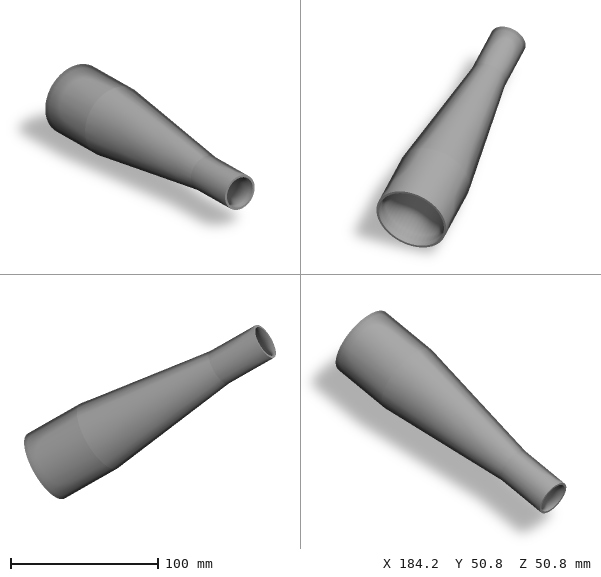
import cadquery as cq

large_outer_diameter = 50.8
large_bore_diameter = 47.5
small_outer_diameter = 25.4
small_bore_diameter = 22.1

large_tube_length = 44.45
cone_length = 101.6
small_tube_length = 38.1

cone_start = large_tube_length
cone_end = cone_start + cone_length
total_length = cone_end + small_tube_length


def reducer_body(large_diameter, small_diameter):
    """Solid of revolution about X: large cylinder, cone, small cylinder."""
    large_radius = large_diameter / 2
    small_radius = small_diameter / 2
    half_profile = (
        cq.Workplane("XY")
        .moveTo(0, 0)
        .lineTo(0, large_radius)
        .lineTo(cone_start, large_radius)
        .lineTo(cone_end, small_radius)
        .lineTo(total_length, small_radius)
        .lineTo(total_length, 0)
        .close()
    )
    return half_profile.revolve(360, (0, 0, 0), (1, 0, 0))


outer_body = reducer_body(large_outer_diameter, small_outer_diameter)
bore = reducer_body(large_bore_diameter, small_bore_diameter)

result = outer_body.cut(bore)